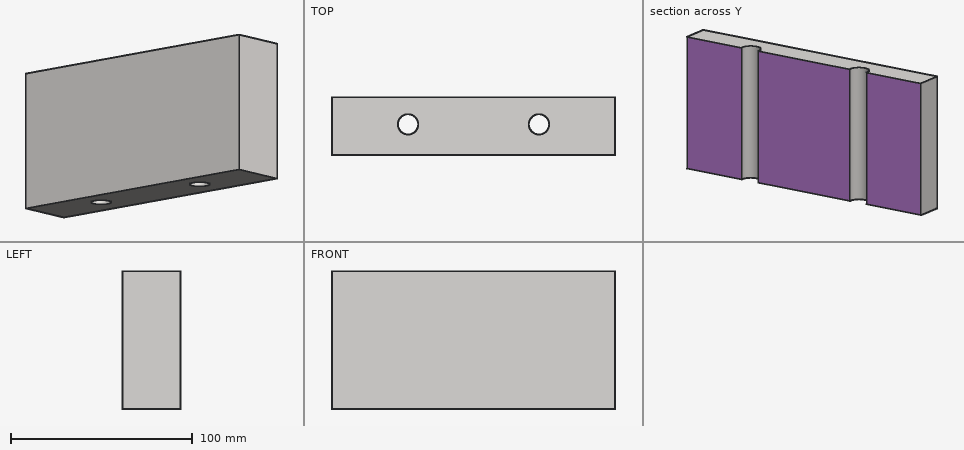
import cadquery as cq

length = 156.0
thickness = 32.0
height = 76.0

hole_diameter = 11.0
hole_spacing = 72.0
hole_offset_y = 1.0

block = cq.Workplane("XY").box(length, thickness, height)

hole_centers = [
    (-hole_spacing / 2, hole_offset_y),
    (hole_spacing / 2, hole_offset_y),
]
result = block.faces(">Z").workplane().pushPoints(hole_centers).hole(hole_diameter)